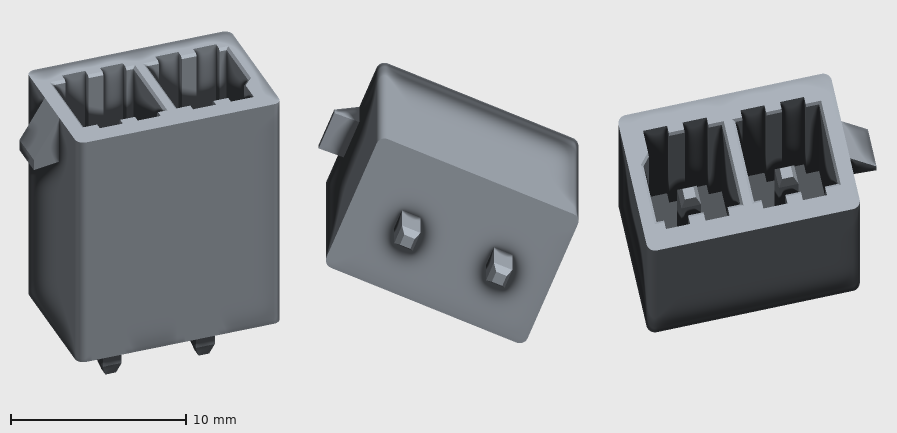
import cadquery as cq

BODY_X = 8.35
BODY_Y = 12.47
BODY_Z = 14.8
CORNER_RADIUS = 0.5

PITCH = 5.7
ROW_OFFSET_Y = 0.07
REAR_CONTACT_Y = ROW_OFFSET_Y + PITCH / 2
FRONT_CONTACT_Y = ROW_OFFSET_Y - PITCH / 2

CAVITY_SIDE = 4.9
CAVITY_DEPTH = 12.21
RIM_CHAMFER = 0.15
RIM_ANGLE = 45

KEYWAY_SPAN = 6.05
KEYWAY_WIDTH = 1.4
KEYWAY_GAP = 0.9
KEYWAY_OFFSET_Y = 0.17
KEYWAY_PITCH = KEYWAY_WIDTH + KEYWAY_GAP

KEY_CORNER_X = 1.46
KEY_CORNER_Y = 1.25

PIN_SIDE = 1.15
PIN_TIP_SIDE = 0.65
PIN_TIP_LENGTH = 0.72
PIN_TAIL = 3.7
PIN_TOP_Z = -3.7
PIN_BOTTOM_Z = -BODY_Z - PIN_TAIL

FUNNEL_SIDE = 1.55
FUNNEL_DEPTH = (FUNNEL_SIDE - PIN_SIDE) / 2

LATCH_WIDTH = 2.3
LATCH_REACH = 1.55
LATCH_ROOT_HEIGHT = 2.96
LATCH_NOSE_TOP = 2.5
LATCH_NOSE_BOTTOM = 3.18


def block(size_x, size_y, z_bottom, z_top, y=0):
    """Rectangular block centred on X, between two heights."""
    base = cq.Workplane("XY", origin=(0, y, z_bottom))
    return base.rect(size_x, size_y).extrude(z_top - z_bottom)


def square_frustum(y, z_start, side_start, z_end, side_end):
    """Tapered square block between two heights."""
    return (
        cq.Workplane("XY", origin=(0, y, z_start))
        .rect(side_start, side_start)
        .workplane(offset=z_end - z_start)
        .rect(side_end, side_end)
        .loft(ruled=True)
    )


def well_outline(y, z, keyed_corner):
    """Closed square outline of a well, with the +X +Y corner cut off when keyed."""
    half = CAVITY_SIDE / 2
    corner = [(half, half)]
    if keyed_corner:
        corner = [(half, half - KEY_CORNER_Y), (half - KEY_CORNER_X, half)]
    points = [(-half, -half), (half, -half)] + corner + [(-half, half)]
    return cq.Workplane("XY", origin=(0, y, z)).polyline(points).close()


def make_cavity(y, keyed_corner):
    """Space removed for one contact: chamfered well, keyways and floor funnel."""
    cavity = well_outline(y, -CAVITY_DEPTH, keyed_corner).extrude(CAVITY_DEPTH)
    mouth = well_outline(y, 0, keyed_corner).offset2D(RIM_CHAMFER, "intersection")
    cavity = cavity.union(mouth.extrude(-RIM_CHAMFER, taper=RIM_ANGLE))

    for side in (-1, 1):
        keyway_y = y + KEYWAY_OFFSET_Y + side * KEYWAY_PITCH / 2
        cavity = cavity.union(block(KEYWAY_SPAN, KEYWAY_WIDTH, -CAVITY_DEPTH, 0, keyway_y))

    funnel_bottom = -CAVITY_DEPTH - FUNNEL_DEPTH
    funnel = square_frustum(y, funnel_bottom, PIN_SIDE, -CAVITY_DEPTH, FUNNEL_SIDE)
    return cavity.union(funnel)


def make_pin(y):
    """Contact pin running through the cavity floor."""
    shank_top = PIN_TOP_Z - PIN_TIP_LENGTH
    shank_bottom = PIN_BOTTOM_Z + PIN_TIP_LENGTH
    shank = block(PIN_SIDE, PIN_SIDE, shank_bottom, shank_top, y)
    upper_tip = square_frustum(y, shank_top, PIN_SIDE, PIN_TOP_Z, PIN_TIP_SIDE)
    lower_tip = square_frustum(y, PIN_BOTTOM_Z, PIN_TIP_SIDE, shank_bottom, PIN_SIDE)
    return shank.union(upper_tip).union(lower_tip)


def make_latch():
    """Ramp that slopes out from the rim to a blunt, slightly hooked nose."""
    wall_y = -BODY_Y / 2
    nose_y = wall_y - LATCH_REACH
    profile = [
        (wall_y, 0),
        (nose_y, -LATCH_NOSE_TOP),
        (nose_y, -LATCH_NOSE_BOTTOM),
        (wall_y, -LATCH_ROOT_HEIGHT),
    ]
    return cq.Workplane("YZ").polyline(profile).close().extrude(LATCH_WIDTH / 2, both=True)


housing = block(BODY_X, BODY_Y, -BODY_Z, 0).edges("|Z").fillet(CORNER_RADIUS)
housing = housing.union(make_latch())
housing = housing.cut(make_cavity(REAR_CONTACT_Y, keyed_corner=True))
housing = housing.cut(make_cavity(FRONT_CONTACT_Y, keyed_corner=False))

result = housing
for contact_y in (REAR_CONTACT_Y, FRONT_CONTACT_Y):
    result = result.union(make_pin(contact_y))